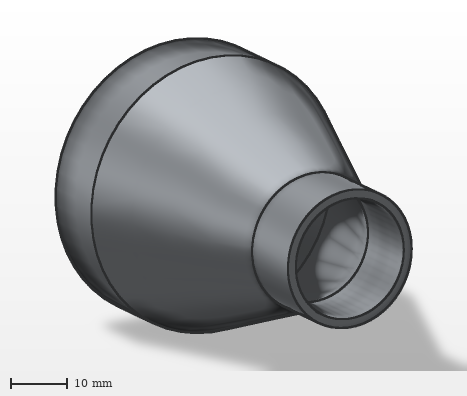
import cadquery as cq

length = 60.45
large_diameter = 50.8
small_diameter = large_diameter / 2
wall = 1.65
collar_length = 12.7


def reducer_body(large_radius, small_radius):
    """Solid of revolution about X: wide collar, cone, narrow collar."""
    cone_end = length - collar_length
    profile = (
        cq.Workplane("XY")
        .moveTo(0, 0)
        .lineTo(0, large_radius)
        .lineTo(collar_length, large_radius)
        .lineTo(cone_end, small_radius)
        .lineTo(length, small_radius)
        .lineTo(length, 0)
        .close()
    )
    return profile.revolve(360, (0, 0, 0), (1, 0, 0))


outer = reducer_body(large_diameter / 2, small_diameter / 2)
bore = reducer_body(large_diameter / 2 - wall, small_diameter / 2 - wall)
result = outer.cut(bore)